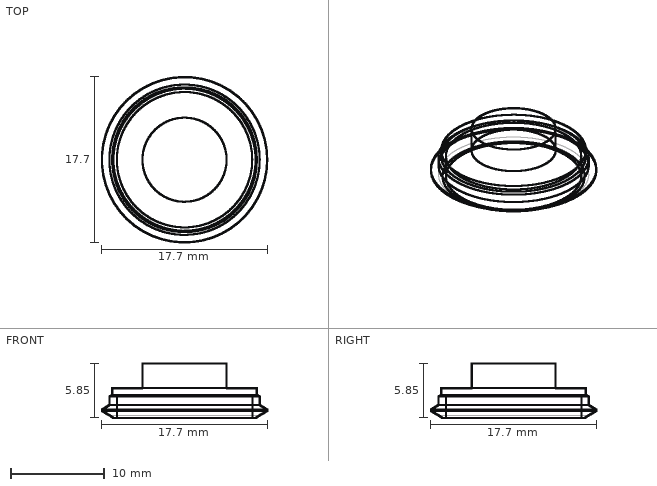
import cadquery as cq

knob_radius = 9.0 / 2
neck_radius = 14.48 / 2
flange_radius = 15.48 / 2
band_radius = 16.08 / 2
lip_radius = 17.7 / 2
seal_foot_radius = 7.6

lip_root_bottom = 0.285
lip_edge_bottom = 0.76
lip_edge_top = 0.9
lip_root_top = 1.4
band_top = 2.3
flange_top = 3.2
overall_height = 5.85

rim_slope = lip_root_bottom / (band_radius - seal_foot_radius)
seal_top = band_top + rim_slope * (band_radius - flange_radius)


def revolve_profile(points):
    """Turn a closed (radius, height) outline about the Z axis."""
    return cq.Workplane("XZ").polyline(points).close().revolve(360, (0, 0, 0), (0, 1, 0))


plug = revolve_profile([
    (0, 0),
    (neck_radius, 0),
    (neck_radius, seal_top),
    (flange_radius, seal_top),
    (flange_radius, flange_top),
    (knob_radius, flange_top),
    (knob_radius, overall_height),
    (0, overall_height),
])

seal = revolve_profile([
    (neck_radius, 0),
    (seal_foot_radius, 0),
    (band_radius, lip_root_bottom),
    (lip_radius, lip_edge_bottom),
    (lip_radius, lip_edge_top),
    (band_radius, lip_root_top),
    (band_radius, band_top),
    (flange_radius, seal_top),
    (neck_radius, seal_top),
])

result = cq.Compound.makeCompound([plug.val(), seal.val()])